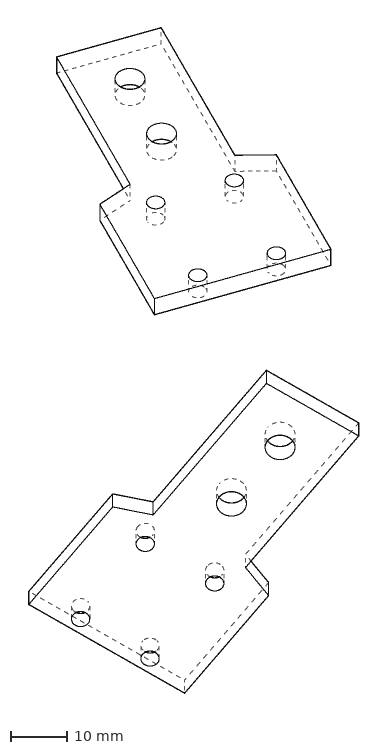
import cadquery as cq

length = 63.65
head_width = 33.7
tail_width = 20.0
thickness = 4.0

shoulder_start = 35.0
shoulder_end = 37.7

tail_hole_diameter = 5.3
tail_hole_first_x = 10.05
hole_pitch = 15.0

head_hole_diameter = 3.25
head_hole_first_x = 41.0
head_hole_spacing_x = 20.0


def plate():
    """T-shaped plate, symmetric about the X axis, with its tail end at X = 0."""
    half_head = head_width / 2
    half_tail = tail_width / 2
    upper_edge = [
        (0, half_tail),
        (shoulder_start, half_tail),
        (shoulder_end, half_head),
        (length, half_head),
    ]
    lower_edge = [(x, -y) for x, y in reversed(upper_edge)]
    return cq.Workplane("XY").polyline(upper_edge + lower_edge).close().extrude(thickness)


def through_holes(centres, diameter):
    """Cylinders that cut holes through the full plate thickness."""
    return cq.Workplane("XY").pushPoints(centres).circle(diameter / 2).extrude(thickness)


tail_hole_centres = [(tail_hole_first_x + i * hole_pitch, 0) for i in range(2)]
head_hole_centres = [
    (head_hole_first_x + i * head_hole_spacing_x, side * hole_pitch / 2)
    for i in range(2)
    for side in (-1, 1)
]

result = (
    plate()
    .cut(through_holes(tail_hole_centres, tail_hole_diameter))
    .cut(through_holes(head_hole_centres, head_hole_diameter))
)